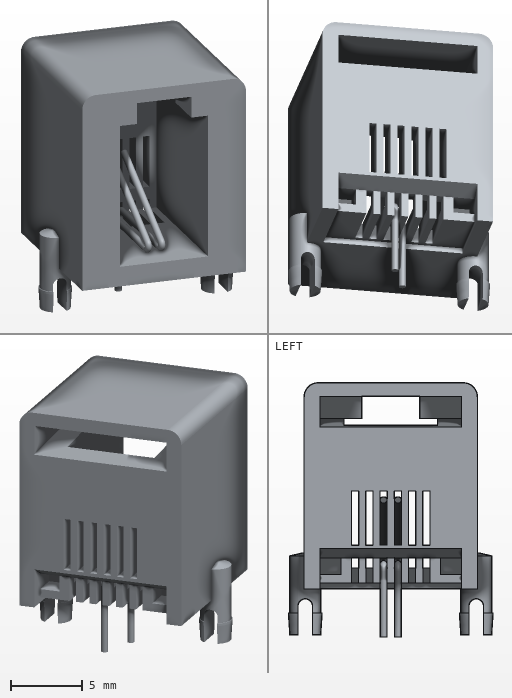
import cadquery as cq
import math


length = 13.0
width = 12.2
height = 14.5
top_radius = 1.0
rear_x = -length / 2
front_x = length / 2

rear_wall = 2.05
cavity_width = 6.55
cavity_floor_z = 1.47
cavity_top_z = 11.98
latch_width = 4.05
latch_top_z = 13.53

window_width = 9.95
window_sill_z = 11.38
ramp_angle = 3.5
ramp_length = (cavity_top_z - window_sill_z) / math.tan(math.radians(ramp_angle))
window_end_x = rear_x + ramp_length
cavity_rear_x = rear_x + rear_wall

comb_x = -5.37
recess_rear_z = 2.83
recess_top_z = 2.17
comb_bottom_z = 0.4
recess_end_x = -0.9
comb_width = 6.98
shoulder_z = 1.0
shoulder_end_x = -3.58

slot_count = 6
slot_pitch = 1.0
slot_width = 0.5
rear_slot_bottom_z = 3.08
rear_slot_top_z = 6.87
comb_slot_end_x = -1.25

peg_x = 0.5
peg_y = 6.01
peg_radius = 2.2 / 2
peg_tip_radius = 0.21
peg_tip_z = 2.52
peg_shoulder_z = 2.31
lip_radius = 1.18
lip_top_z = -1.7
lip_bottom_z = -1.88
peg_end_radius = 1.1
peg_end_z = -3.24
split_width = 1.0
split_top_z = -0.72

wire_diameter = 0.5
tail_end_z = -3.4
tail_xs = (-1.8, -4.35)
wire_ys = (-slot_pitch / 2, slot_pitch / 2)
run_z = 1.74
tail_bend_radius = 0.5
front_bend_x = 4.3
front_bend_radius = 0.27
spring_angle = 27.0
spring_tip_z = 6.25


def box(x_range, y_range, z_range):
    """Box spanning the given (low, high) pair on each axis."""
    (x0, x1), (y0, y1), (z0, z1) = x_range, y_range, z_range
    return cq.Workplane("XY").box(x1 - x0, y1 - y0, z1 - z0, centered=False).translate((x0, y0, z0))


def centred_box(x_range, y_width, z_range):
    """Box symmetric about the XZ plane."""
    return box(x_range, (-y_width / 2, y_width / 2), z_range)


def side_profile(points, y_width):
    """Prism of an XZ outline, symmetric about the XZ plane."""
    return cq.Workplane("XZ").polyline(points).close().extrude(y_width / 2, both=True)


def make_plug_cavity():
    opening = centred_box((cavity_rear_x, front_x), cavity_width, (cavity_floor_z, cavity_top_z))
    latch_slot = centred_box((window_end_x, front_x), latch_width, (cavity_floor_z, latch_top_z))
    return opening.union(latch_slot)


def make_rear_window():
    outline = [
        (rear_x, window_sill_z),
        (window_end_x, cavity_top_z),
        (window_end_x, latch_top_z),
        (rear_x, latch_top_z),
    ]
    return side_profile(outline, window_width)


def make_underside_recess():
    """Opening behind the comb, plus the shallow step that runs on below it."""
    outline = [
        (rear_x, 0),
        (recess_end_x, 0),
        (recess_end_x, comb_bottom_z),
        (comb_x, comb_bottom_z),
        (comb_x, recess_top_z),
        (rear_x, recess_rear_z),
    ]
    return side_profile(outline, window_width)


def make_comb_shoulder(side):
    """Notch beside the comb, on the -Y (side = -1) or +Y (side = 1) end."""
    y_range = sorted((side * comb_width / 2, side * window_width / 2))
    return box((comb_x, shoulder_end_x), y_range, (shoulder_z, recess_top_z))


def make_wire_slot(y):
    """Slot through the rear wall and the slot below it in the comb."""
    y_range = (y - slot_width / 2, y + slot_width / 2)
    rear_slot = box((rear_x, cavity_rear_x), y_range, (rear_slot_bottom_z, rear_slot_top_z))
    comb_slot = box((comb_x, comb_slot_end_x), y_range, (comb_bottom_z, recess_top_z))
    return rear_slot.union(comb_slot)


def make_peg(side):
    """Split snap-in peg half sunk in the -Y (side = -1) or +Y (side = 1) wall."""
    profile = [
        (0, peg_end_z),
        (peg_end_radius, peg_end_z),
        (lip_radius, lip_bottom_z),
        (lip_radius, lip_top_z),
        (peg_radius, lip_top_z),
        (peg_radius, peg_shoulder_z),
        (peg_tip_radius, peg_tip_z),
        (0, peg_tip_z),
    ]
    peg = cq.Workplane("XZ").polyline(profile).close().revolve(360, (0, 0, 0), (0, 1, 0))
    arch_z = split_top_z - split_width / 2
    split = centred_box((-lip_radius, lip_radius), split_width, (peg_end_z, arch_z))
    arch = cq.Workplane("YZ").center(0, arch_z).circle(split_width / 2).extrude(lip_radius, both=True)
    return peg.cut(split).cut(arch).translate((peg_x, side * peg_y, 0))


def make_housing():
    housing = centred_box((rear_x, front_x), width, (0, height))
    housing = housing.edges("|X and >Z").fillet(top_radius)
    for side in (-1, 1):
        housing = housing.union(make_peg(side))
    housing = housing.cut(make_plug_cavity())
    housing = housing.cut(make_rear_window())
    housing = housing.cut(make_underside_recess())
    for side in (-1, 1):
        housing = housing.cut(make_comb_shoulder(side))
    for index in range(slot_count):
        slot_y = (index - (slot_count - 1) / 2) * slot_pitch
        housing = housing.cut(make_wire_slot(slot_y))
    return housing


def make_contact_wire(tail_x, y):
    """Round wire: solder tail, run along the cavity floor, and a spring arm folded back and up."""
    angle = math.radians(spring_angle)
    half_bend = (math.pi - angle) / 2
    bend_centre_z = run_z + front_bend_radius

    def on_front_bend(turn):
        return (
            front_bend_x + front_bend_radius * math.sin(turn),
            bend_centre_z - front_bend_radius * math.cos(turn),
        )

    spring_root = on_front_bend(2 * half_bend)
    spring_tip_x = spring_root[0] - (spring_tip_z - spring_root[1]) / math.tan(angle)
    tail_bend_mid = tail_bend_radius * (1 - math.sqrt(0.5))
    path = (
        cq.Workplane("XZ", origin=(0, y, 0))
        .moveTo(tail_x, tail_end_z)
        .lineTo(tail_x, run_z - tail_bend_radius)
        .threePointArc((tail_x + tail_bend_mid, run_z - tail_bend_mid), (tail_x + tail_bend_radius, run_z))
        .lineTo(front_bend_x, run_z)
        .threePointArc(on_front_bend(half_bend), spring_root)
        .lineTo(spring_tip_x, spring_tip_z)
    )
    section = cq.Workplane("XY", origin=(tail_x, y, tail_end_z)).circle(wire_diameter / 2)
    return section.sweep(path)


housing = make_housing()
contact_wires = [make_contact_wire(tail_x, y) for tail_x, y in zip(tail_xs, wire_ys)]

result = cq.Compound.makeCompound([housing.val(), *[wire.val() for wire in contact_wires]])